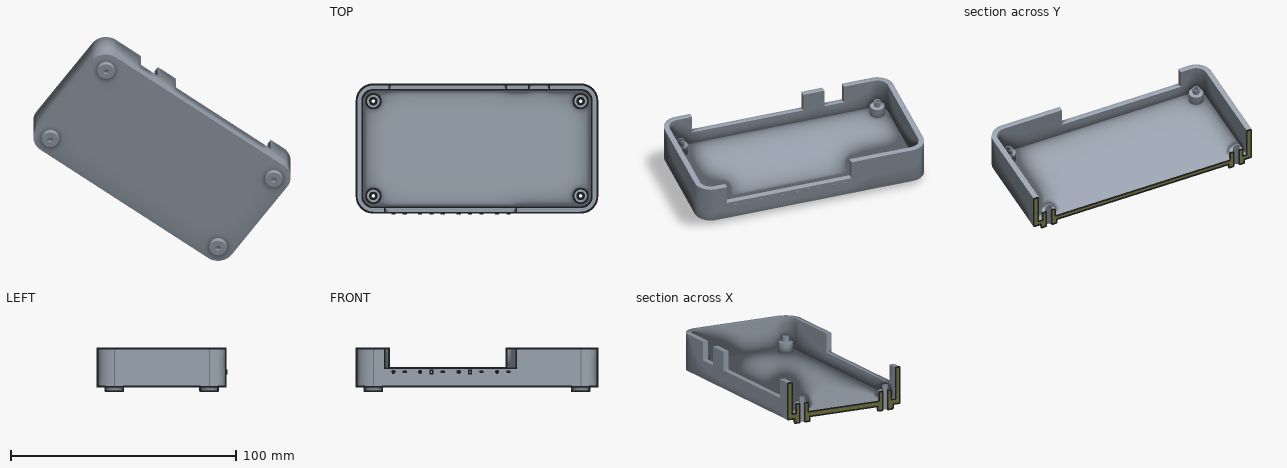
import cadquery as cq
length = 107.0
width = 57.0
height = 17.0
wall = 2.5
floor = 2.5
corner_radius = 7.5

front_notches = [(12.6, 70.8)]
front_sill = 8.2
rear_notches = [(14.5, 66.6), (76.4, 85.6)]
rear_sill = 8.5

boss_diameter = 6.4
boss_height = 4.4
pin_diameter = 3.0
pin_height = 2.6
bore_diameter = 2.4
foot_diameter = 8.0
foot_height = 2.1
foot_round = 0.5

mark_relief = 0.3
mark_height = 6.5
mark_pitch = 5.0
mark_size = 1.2
mark_stroke = 0.4
block_width = 1.0
block_height = 1.6
mark_groups = [
    (16.4, ["plus", "minus"]),
    (28.2, ["plus", "block", "minus"]),
    (45.4, ["plus", "block", "minus"]),
    (62.4, ["plus", "minus"]),
]
mark_bars = {
    "plus": [(mark_size, mark_stroke), (mark_stroke, mark_size)],
    "minus": [(mark_size, mark_stroke)],
    "block": [(block_width, block_height)],
}


def rounded_block(inset, bottom, top):
    """Box following the outer outline at a given inset."""
    return (
        cq.Workplane("XY")
        .box(length - 2 * inset, width - 2 * inset, top - bottom, centered=(True, True, False))
        .edges("|Z")
        .fillet(corner_radius - inset)
        .translate((length / 2, width / 2, bottom))
    )


def at_corners(bottom, diameter, depth):
    """Four upright cylinders on the mount centres."""
    spacing_x = length - 2 * corner_radius
    spacing_y = width - 2 * corner_radius
    return (
        cq.Workplane("XY", origin=(length / 2, width / 2, bottom))
        .rect(spacing_x, spacing_y, forConstruction=True)
        .vertices()
        .circle(diameter / 2)
        .extrude(depth)
    )


def rim_notch(left, right, sill, wall_start):
    """Cutter that opens one long wall from the sill up to the rim."""
    return (
        cq.Workplane("XY")
        .box(right - left, wall, height - sill, centered=False)
        .translate((left, wall_start, sill))
    )


def raised_mark(kind, center_x):
    """Polarity mark made of flat bars, standing proud of the front wall and rooted in it."""
    mark = cq.Workplane("XY")
    for bar_width, bar_height in mark_bars[kind]:
        bar = cq.Workplane("XY").box(bar_width, 2 * mark_relief, bar_height)
        mark = mark.union(bar.translate((center_x, 0, mark_height)))
    return mark


result = rounded_block(0, 0, height).cut(rounded_block(wall, floor, height))

for left, right in front_notches:
    result = result.cut(rim_notch(left, right, front_sill, 0))
for left, right in rear_notches:
    result = result.cut(rim_notch(left, right, rear_sill, width - wall))

boss_top = floor + boss_height
pin_top = boss_top + pin_height
feet = at_corners(-foot_height, foot_diameter, foot_height).faces("<Z").edges().fillet(foot_round)
result = result.union(feet)
result = result.union(at_corners(0, boss_diameter, boss_top))
result = result.union(at_corners(0, pin_diameter, pin_top))
result = result.cut(at_corners(-foot_height, bore_diameter, foot_height + pin_top))

for first_x, kinds in mark_groups:
    for index, kind in enumerate(kinds):
        result = result.union(raised_mark(kind, first_x + index * mark_pitch))